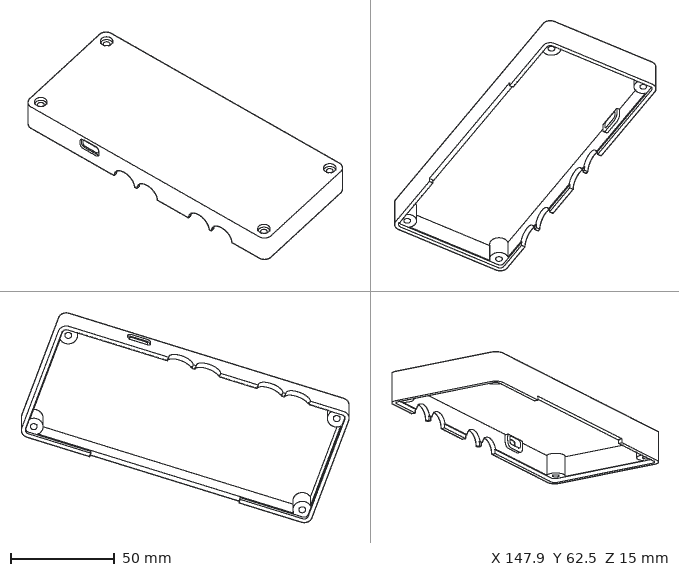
import cadquery as cq

length = 147.86
width = 62.48
height = 15.0
corner_radius = 4.0

wall = 2.5
roof = 3.0
seat_depth = 2.0
seat_wall = 2.0

screw_inset = 5.55
screw_hole_diameter = 3.2
screw_head_diameter = 6.0
screw_head_depth = 2.0
screw_post_diameter = 9.0

window_x = -34.15
window_z = 9.7
opening_length = 9.3
opening_height = 4.0
opening_corner_radius = 1.16
recess_length = 11.5
recess_height = 6.0
recess_corner_radius = 2.0
recess_depth = 1.0
frame_depth = 4.0
frame_margin = 1.0

arch_radius = 6.25
arch_top = 6.2
arch_pitch = 14.0
arch_pair_centers = (-5.85, 39.8)

notch_length = 76.0

front_y = -width / 2


def rounded_block(size_x, size_y, size_z, radius):
    block = cq.Workplane("XY").rect(size_x, size_y).extrude(size_z)
    return block.edges("|Z").fillet(radius)


def inset_block(inset, block_height):
    return rounded_block(
        length - 2 * inset,
        width - 2 * inset,
        block_height,
        corner_radius - inset,
    )


def corner_cylinders(diameter, base_z, top_z):
    return (
        cq.Workplane("XY")
        .workplane(offset=base_z)
        .rect(length - 2 * screw_inset, width - 2 * screw_inset, forConstruction=True)
        .vertices()
        .circle(diameter / 2)
        .extrude(top_z - base_z)
    )


def make_shell():
    outer = inset_block(0, height)
    cavity = inset_block(wall, height - roof)
    seat = inset_block(seat_wall, seat_depth)
    posts = corner_cylinders(screw_post_diameter, seat_depth, height).intersect(outer)
    return outer.cut(cavity).cut(seat).union(posts)


def make_screw_holes():
    holes = corner_cylinders(screw_hole_diameter, 0, height)
    heads = corner_cylinders(screw_head_diameter, height - screw_head_depth, height)
    return holes.union(heads)


def window_block(size_x, size_z, radius, depth):
    """Rounded block centred on the window, reaching inward from the front face."""
    block = cq.Workplane("XY").box(size_x, depth, size_z).edges("|Y").fillet(radius)
    return block.translate((window_x, front_y + depth / 2, window_z))


def make_window_frame():
    return window_block(
        recess_length + 2 * frame_margin,
        recess_height + 2 * frame_margin,
        recess_corner_radius + frame_margin,
        frame_depth,
    )


def make_window():
    opening = window_block(opening_length, opening_height, opening_corner_radius, frame_depth)
    recess = window_block(recess_length, recess_height, recess_corner_radius, recess_depth)
    return opening.union(recess)


def make_arches():
    center_z = arch_top - arch_radius
    centers = []
    for pair_x in arch_pair_centers:
        for side in (-1, 1):
            centers.append((pair_x + side * arch_pitch / 2, center_z))
    return (
        cq.Workplane("XZ", origin=(0, front_y + wall, 0))
        .pushPoints(centers)
        .circle(arch_radius)
        .extrude(wall)
    )


def make_notch():
    notch = cq.Workplane("XY").box(notch_length, wall, seat_depth)
    return notch.translate((0, (width - wall) / 2, seat_depth / 2))


result = (
    make_shell()
    .union(make_window_frame())
    .cut(make_screw_holes())
    .cut(make_window())
    .cut(make_arches())
    .cut(make_notch())
)